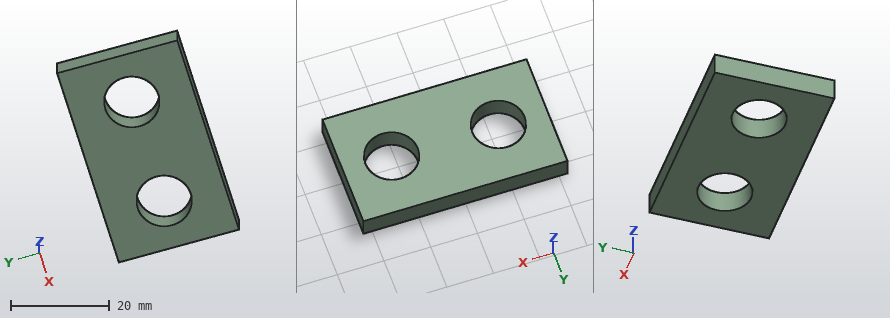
import cadquery as cq

length = 43.7
width = 25.4
thickness = 5.0

hole_diameter = 11.2
hole_spacing = 22.85

plate = cq.Workplane("XY").box(length, width, thickness)

hole_centres = [(side * hole_spacing / 2, 0) for side in (-1, 1)]
result = plate.faces(">Z").workplane().pushPoints(hole_centres).hole(hole_diameter)